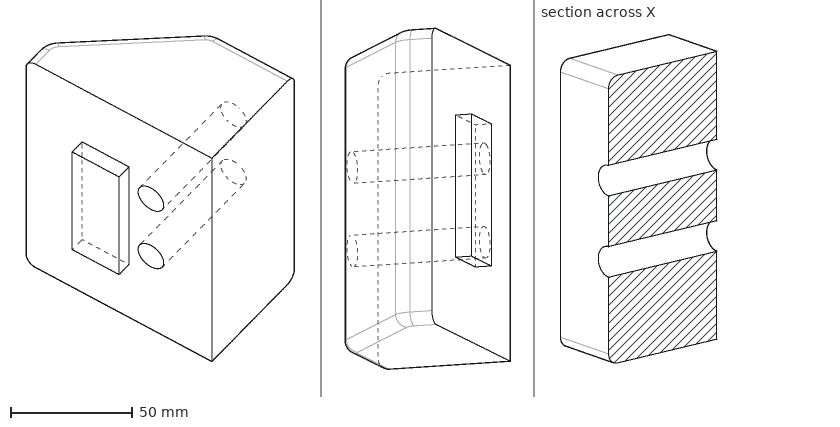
import cadquery as cq

length = 94.5
height = 124.0
body_depth = 58.0
nose_depth = 14.3
slope_length = 53.0
corner_radius = 9.9
rim_radius = 5.0

pad_x = 28.5
pad_width = 23.8
pad_height = 59.5
pad_thickness = 7.0

hole_x = 63.5
hole_diameter = 13.0
hole_spacing = 35.0


def make_body():
    outline = [
        (0, 0),
        (length, 0),
        (length, body_depth),
        (slope_length, body_depth),
        (0, nose_depth),
    ]
    body = cq.Workplane("XY").polyline(outline).close().extrude(height)
    slope_corners = cq.selectors.BoxSelector(
        (-1.2, nose_depth - 1.2, 0), (slope_length + 1.2, body_depth + 1.2, height)
    )
    body = body.edges("|Z").edges(slope_corners).fillet(corner_radius)

    rim = body.faces("<Z or >Z").edges("not(<Y or >X)")
    return rim.fillet(rim_radius)


def make_pad():
    pad = cq.Workplane("XY").box(pad_width, pad_thickness, pad_height, centered=(False, False, True))
    return pad.translate((pad_x, -pad_thickness, height / 2))


def make_holes():
    hole_centers = [(hole_x, (height + side * hole_spacing) / 2) for side in (-1, 1)]
    return (
        cq.Workplane("XZ")
        .pushPoints(hole_centers)
        .circle(hole_diameter / 2)
        .extrude(-body_depth)
    )


result = make_body().union(make_pad()).cut(make_holes())